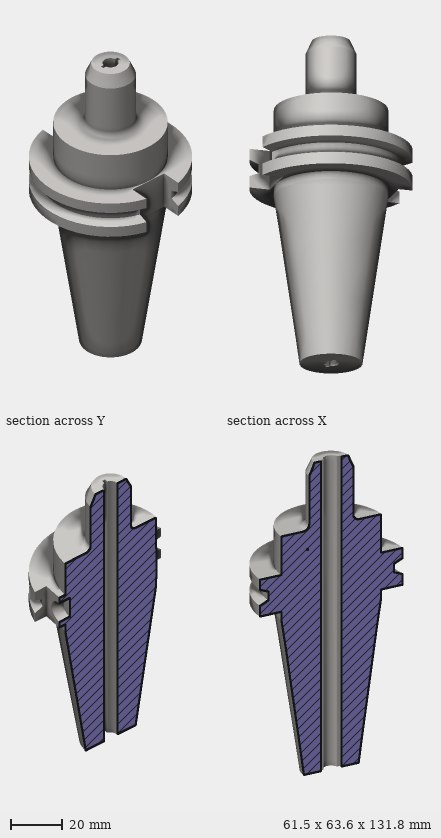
import cadquery as cq

total_height = 131.8
taper_top = 68.1
flange_bottom = 71.4
flange_top = 87.2
collar_top = 103.5
nose_bottom = 126.5

taper_end_radius = 12.3
collar_radius = 22.3
flange_radius = 31.8
groove_radius = 28.0
shank_radius = 9.9
nose_radius = 7.5
shank_fillet = 2.5

groove_mid = 79.5
groove_floor_width = 3.5
groove_mouth_width = 6.7

slot_width = 16.3
left_slot_floor = 25.0
right_slot_floor = 22.4

side_hole_diameter = 9.6
side_hole_depth = 5.0

bore_diameter = 6.2
keyway_width = 1.5
keyway_span = 8.8

flange_height = flange_top - flange_bottom
flange_mid = (flange_bottom + flange_top) / 2


def turned_body():
    """Taper, flange, collar and shank as one revolved profile."""
    profile = (
        cq.Workplane("XZ")
        .lineTo(taper_end_radius, 0)
        .lineTo(collar_radius, taper_top)
        .lineTo(collar_radius, flange_bottom)
        .lineTo(flange_radius, flange_bottom)
        .lineTo(flange_radius, groove_mid - groove_mouth_width / 2)
        .lineTo(groove_radius, groove_mid - groove_floor_width / 2)
        .lineTo(groove_radius, groove_mid + groove_floor_width / 2)
        .lineTo(flange_radius, groove_mid + groove_mouth_width / 2)
        .lineTo(flange_radius, flange_top)
        .lineTo(collar_radius, flange_top)
        .lineTo(collar_radius, collar_top)
        .lineTo(shank_radius + shank_fillet, collar_top)
        .radiusArc((shank_radius, collar_top + shank_fillet), shank_fillet)
        .lineTo(shank_radius, nose_bottom)
        .lineTo(nose_radius, total_height)
        .lineTo(0, total_height)
        .close()
    )
    return profile.revolve(360, (0, 0, 0), (0, 1, 0))


def drive_slot(floor_distance, side):
    """Cutter for the slot on one side of the flange; side is -1 or +1 along X."""
    depth = flange_radius - floor_distance
    center_x = side * (floor_distance + depth / 2)
    return cq.Workplane("XY").box(depth, slot_width, flange_height).translate((center_x, 0, flange_mid))


def side_hole():
    """Cutter for the blind hole that runs inward from the -X slot floor."""
    return (
        cq.Workplane("YZ", origin=(-left_slot_floor, 0, flange_mid))
        .circle(side_hole_diameter / 2)
        .extrude(side_hole_depth)
    )


def keyed_bore():
    """Cutter for the through bore and its two keyways."""
    bore = cq.Workplane("XY").circle(bore_diameter / 2).extrude(total_height)
    keyways = cq.Workplane("XY").rect(keyway_width, keyway_span).extrude(total_height)
    return bore.union(keyways)


result = (
    turned_body()
    .cut(drive_slot(left_slot_floor, -1))
    .cut(drive_slot(right_slot_floor, 1))
    .cut(side_hole())
    .cut(keyed_bore())
)